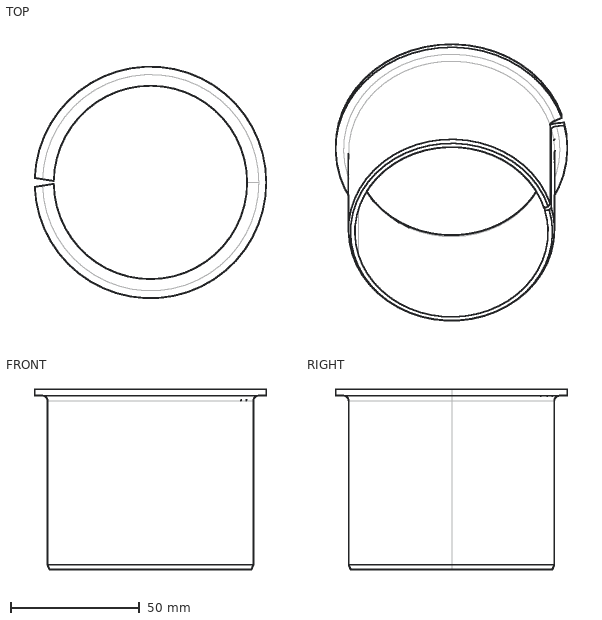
import cadquery as cq

flange_diameter = 90
tube_diameter = 80.0
wall = 2.5
height = 70.0
bend_outer_radius = 2.0
chamfer_height = 1.8
chamfer_width = 0.8
split_tip_radius = 34.4
split_rim_width = 3.4

flange_radius = flange_diameter / 2
tube_radius = tube_diameter / 2
bore_radius = tube_radius - wall
flange_bottom = height - wall
bend_inner_radius = bend_outer_radius + wall


def flanged_bush():
    """Revolve the wall section: chamfered tube, rolled bend and flange."""
    return (
        cq.Workplane("XZ")
        .moveTo(bore_radius, 0)
        .lineTo(tube_radius - chamfer_width, 0)
        .lineTo(tube_radius, chamfer_height)
        .lineTo(tube_radius, flange_bottom - bend_outer_radius)
        .radiusArc((tube_radius + bend_outer_radius, flange_bottom), bend_outer_radius)
        .lineTo(flange_radius, flange_bottom)
        .lineTo(flange_radius, height)
        .lineTo(bore_radius + bend_inner_radius, height)
        .radiusArc((bore_radius, height - bend_inner_radius), -bend_inner_radius)
        .close()
        .revolve(360, (0, 0, 0), (0, 1, 0))
    )


def split():
    """Full-height wedge through the -X wall, widening outwards from the bore to the flange rim."""
    return (
        cq.Workplane("XY")
        .polyline([
            (-split_tip_radius, 0),
            (-flange_radius, split_rim_width / 2),
            (-flange_radius, -split_rim_width / 2),
        ])
        .close()
        .extrude(height)
    )


result = flanged_bush().cut(split())